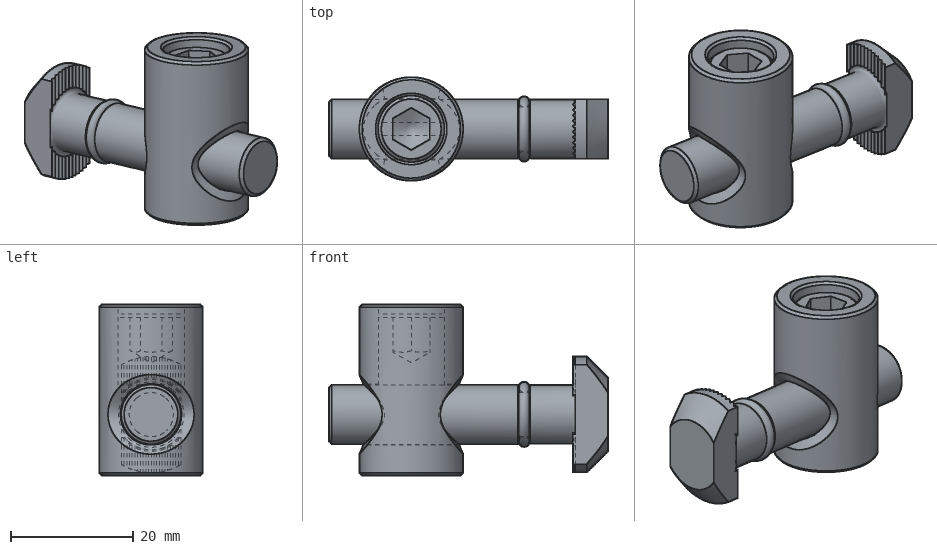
import cadquery as cq
import math


BARREL_DIAMETER = 17.0
BARREL_TOP = 18.0
BARREL_HEIGHT = 28.0
BARREL_CHAMFER = 0.45
CROSS_BORE_DIAMETER = 10.0
MOUTH_OFFSET = 1.5
MOUTH_DEPTH = 0.65
MOUTH_OVERLAP = 0.2
MOUTH_POINTS = 48

SCREW_DIAMETER = 10.88
SCREW_RECESS = 1.55
SCREW_CHAMFER = 0.55
SCREW_HOLE_CHAMFER = 0.4
HEX_ACROSS_FLATS = 6.0
HEX_DEPTH = 6.0
HEX_CONE_ANGLE = 120.0

BOLT_LENGTH = 45.7
BOLT_START = -13.5
BOLT_END = BOLT_START + BOLT_LENGTH
SHANK_DIAMETER = 9.8
SHANK_CHAMFER = 0.5
NECK_DIAMETER = 9.7
NECK_FILLET = 0.55

HEAD_DIAMETER = 19.0
HEAD_WIDTH = 9.8
HEAD_THICKNESS = 5.75
HEAD_START = BOLT_END - HEAD_THICKNESS
HEAD_END_DIAMETER = 12.0
HEAD_TAPER = (HEAD_DIAMETER - HEAD_END_DIAMETER) / 2
TOOTH_COUNT = 11
TOOTH_PITCH = HEAD_WIDTH / TOOTH_COUNT
TOOTH_DEPTH = 0.4
RELIEF_DIAMETER = 11.5
RELIEF_DEPTH = TOOTH_DEPTH

RING_CENTER = 18.45
GROOVE_WIDTH = 2.0
GROOVE_DIAMETER = 7.2
RING_SECTION = 1.75

SCREW_TOP = BARREL_TOP - SCREW_RECESS
SCREW_BOTTOM = SHANK_DIAMETER / 2


def x_cylinder(diameter, start, end):
    """Cylinder along X between two stations."""
    return cq.Workplane("YZ").workplane(offset=start).circle(diameter / 2).extrude(end - start)


def z_cylinder(diameter, bottom, top):
    """Cylinder along Z between two heights."""
    return cq.Workplane("XY").workplane(offset=bottom).circle(diameter / 2).extrude(top - bottom)


def mouth_loop(half_width, half_height, station):
    """Closed curve that is an ellipse seen along X; station(t) is its X at angle t."""
    points = []
    for index in range(MOUTH_POINTS):
        angle = 2 * math.pi * index / MOUTH_POINTS
        points.append(
            cq.Vector(station(angle), half_width * math.sin(angle), half_height * math.cos(angle))
        )
    return cq.Wire.assembleEdges([cq.Edge.makeSpline(points, periodic=True)])


def make_mouth_cutter():
    """Cutter for the chamfer where the cross bore breaks out of the round barrel wall.

    The chamfer runs between two curves: one on the bore and one on the barrel wall.
    Both come from a guide curve that keeps a fixed distance from the bore and from the wall.
    """
    wall_radius = BARREL_DIAMETER / 2
    bore_radius = CROSS_BORE_DIAMETER / 2
    guide_wall_radius = wall_radius - MOUTH_DEPTH
    guide_radius = bore_radius + MOUTH_OFFSET
    spread = wall_radius / guide_wall_radius

    def guide_station(angle):
        return math.sqrt(guide_wall_radius**2 - (guide_radius * math.sin(angle))**2)

    def chamfer_loop(position):
        """Curve across the chamfer: 0 lies on the bore, 1 lies on the barrel wall."""
        half_width = bore_radius + position * (spread * guide_radius - bore_radius)
        half_height = bore_radius + position * MOUTH_OFFSET
        stretch = 1 + position * (spread - 1)
        return mouth_loop(half_width, half_height, lambda angle: stretch * guide_station(angle))

    loops = [
        mouth_loop(bore_radius / 2, bore_radius / 2, lambda angle: 0),
        chamfer_loop(-MOUTH_OVERLAP),
        chamfer_loop(1 + MOUTH_OVERLAP),
        mouth_loop(wall_radius, wall_radius, lambda angle: 2 * wall_radius),
    ]
    return cq.Workplane(cq.Solid.makeLoft(loops, True))


def make_barrel():
    barrel = z_cylinder(BARREL_DIAMETER, BARREL_TOP - BARREL_HEIGHT, BARREL_TOP)
    barrel = barrel.faces("<Z or >Z").chamfer(BARREL_CHAMFER)

    barrel = barrel.cut(x_cylinder(CROSS_BORE_DIAMETER, -BARREL_DIAMETER, BARREL_DIAMETER))
    mouth = make_mouth_cutter()
    barrel = barrel.cut(mouth).cut(mouth.mirror("YZ"))

    barrel = barrel.cut(z_cylinder(SCREW_DIAMETER, SCREW_BOTTOM, BARREL_TOP))
    rim = cq.selectors.RadiusNthSelector(0)
    return barrel.faces(">Z").edges(rim).chamfer(SCREW_HOLE_CHAMFER)


def make_set_screw():
    screw = z_cylinder(SCREW_DIAMETER, SCREW_BOTTOM, SCREW_TOP)
    screw = screw.faces(">Z").chamfer(SCREW_CHAMFER)

    corner_radius = HEX_ACROSS_FLATS / math.sqrt(3)
    cone_depth = corner_radius / math.tan(math.radians(HEX_CONE_ANGLE / 2))
    hexagon = (
        cq.Workplane("XY")
        .polygon(6, 2 * corner_radius)
        .extrude(-HEX_DEPTH - cone_depth)
        .rotate((0, 0, 0), (0, 0, 1), 90)
    )
    drill = (
        cq.Workplane("XZ")
        .polyline([
            (0, 0),
            (corner_radius, 0),
            (corner_radius, -HEX_DEPTH),
            (0, -HEX_DEPTH - cone_depth),
        ])
        .close()
        .revolve(360, (0, 0), (0, 1))
    )
    return screw.cut(hexagon.intersect(drill).translate((0, 0, SCREW_TOP)))


def make_head():
    head = x_cylinder(HEAD_DIAMETER, HEAD_START, BOLT_END).faces(">X").chamfer(HEAD_TAPER)
    return head.intersect(
        cq.Workplane("XY").box(2 * BOLT_END, HEAD_WIDTH, HEAD_DIAMETER)
    )


def make_tooth_grooves(relief):
    """V grooves along Z that leave sharp teeth and stop at the round relief."""
    grooves = cq.Workplane("XY")
    for index in range(TOOTH_COUNT):
        center = (index - (TOOTH_COUNT - 1) / 2) * TOOTH_PITCH
        grooves = grooves.add(
            cq.Workplane("XY")
            .polyline([
                (HEAD_START, center - TOOTH_PITCH / 2),
                (HEAD_START + TOOTH_DEPTH, center),
                (HEAD_START, center + TOOTH_PITCH / 2),
            ])
            .close()
            .extrude(HEAD_DIAMETER / 2, both=True)
            .cut(relief)
        )
    return grooves


def make_bolt():
    seat = HEAD_START + RELIEF_DEPTH
    relief = x_cylinder(RELIEF_DIAMETER, HEAD_START, seat)
    groove_start = RING_CENTER - GROOVE_WIDTH / 2
    groove_end = RING_CENTER + GROOVE_WIDTH / 2

    neck = x_cylinder(NECK_DIAMETER, groove_end, seat)
    bolt = make_head().cut(relief).union(neck)
    root = cq.selectors.BoxSelector(
        (seat - 0.05, -0.45, -0.45),
        (seat + 0.05, 0.45, 0.45),
    )
    bolt = bolt.edges("%CIRCLE").edges(root).fillet(NECK_FILLET)

    for groove in make_tooth_grooves(relief).vals():
        bolt = bolt.cut(cq.Workplane(groove))

    shank = x_cylinder(SHANK_DIAMETER, BOLT_START, groove_start).faces("<X").chamfer(SHANK_CHAMFER)
    core = x_cylinder(GROOVE_DIAMETER, groove_start, groove_end)
    return bolt.union(core).union(shank)


def make_ring():
    ring_radius = (GROOVE_DIAMETER + RING_SECTION) / 2
    ring = cq.Solid.makeTorus(
        ring_radius, RING_SECTION / 2, cq.Vector(RING_CENTER, 0, 0), cq.Vector(1, 0, 0)
    )
    return cq.Workplane(ring)


barrel = make_barrel()
set_screw = make_set_screw()
bolt = make_bolt()
ring = make_ring()

result = cq.Compound.makeCompound([barrel.val(), set_screw.val(), bolt.val(), ring.val()])